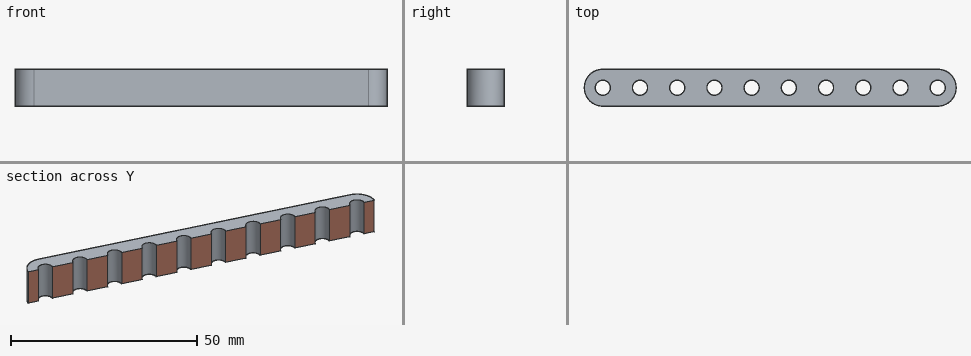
import cadquery as cq

length = 100.0
width = 10.0
height = 10.0
hole_diameter = 4.0
hole_count = 10

hole_pitch = (length - width) / (hole_count - 1)

bar = cq.Workplane("XY").slot2D(length, width).extrude(height)

result = (
    bar.faces(">Z")
    .workplane()
    .rarray(hole_pitch, width, hole_count, 1)
    .hole(hole_diameter)
)